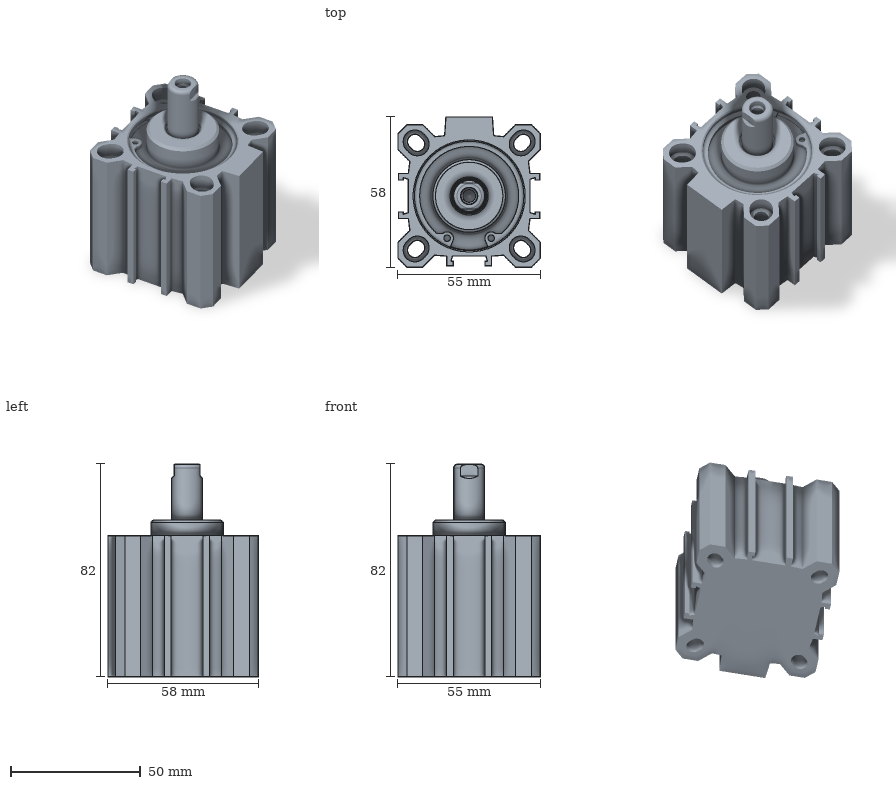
import cadquery as cq
import math


edge_margin = 0.1

housing_height = 54.5
cover_top = 60.5
rod_top = 82.0
flange_top = 50.7
flange_thickness = 10.0
bore_floor = flange_top - flange_thickness

half_width = 27.5
corner_chamfer = 3.5
corner_flat_end = 17.9
notch_depth = 4.6
wall_x = 23.5
wall_y = 23.25
rib_height = 3.75
rib_lip_thickness = 1.85
notch = half_width - notch_depth
notch_start = corner_flat_end - notch_depth
rib_outer = 8.7
rib_lip_inner = 6.1
rib_neck = 7.0
rib_root = 6.4
port_half_width = 9.0
port_base_half_width = 9.5
port_face = 30.5
port_base_fillet = 0.5

mount_offset = 20.45
mount_elongation = 1.35
mount_width = 5.6
counterbore_width = 9.0
counterbore_depth = 5.7

bore_diameter = 42.2
bore_chamfer = 0.5

flange_rim_diameter = 41.7
flange_rim_height = 1.0
boss_diameter = 28.0
boss_chamfer = 1.0
boss_root_fillet = 0.75
wiper_diameter = 13.7
wiper_depth = 1.5
wiper_chamfer = 0.5
lip_diameter = 12.54
lip_depth = 1.0
lip_chamfer = 0.3

ring_thickness = 1.75
ring_outer_radius = 44.7 / 2
ring_inner_radius = 19.1
lug_x = 8.5
lug_y = -16.3
lug_radius = 2.45
lug_hole_diameter = 2.5
lug_shoulder_y = -14.5
lug_blend_radius = 1.5
lug_end_angle = math.radians(23)

rod_diameter = 12.0
rod_end_diameter = 9.4
rod_end_rounding = 1.5
rod_hole_chamfer = 0.2
flats_width = 10.0
flats_length = 4.5
rod_hole_diameter = 6.25
rod_hole_depth = 2.75
thread_diameter = 4.92
thread_depth = 12.0
drill_point_angle = math.radians(59)


def cylinder(diameter, bottom, top):
    return cq.Workplane("XY").workplane(offset=bottom).circle(diameter / 2).extrude(top - bottom)


def rotated(points, quarter_turns):
    for _ in range(quarter_turns):
        points = [(-y, x) for x, y in points]
    return points


def with_mirror(half_side):
    """Complete a side, drawn as its +X half on -Y, and order it from -X to +X."""
    return [(-x, y) for x, y in half_side] + half_side[::-1]


def ribbed_side(wall):
    """A wall on -Y with two lipped ribs, between the notches at its ends."""
    tip = wall + rib_height
    lip_base = tip - rib_lip_thickness
    return with_mirror([
        (notch_start, -notch),
        (rib_outer, -wall),
        (rib_outer, -tip),
        (rib_lip_inner, -tip),
        (rib_lip_inner, -lip_base),
        (rib_neck, -lip_base),
        (rib_root, -wall),
    ])


def housing_outline():
    """Corner blocks joined by ribbed walls on three sides and by the port block on +Y."""
    chamfer_start = half_width - corner_chamfer

    port_side = with_mirror([
        (notch_start, -notch),
        (port_base_half_width, -wall_y),
        (port_half_width, -port_face),
    ])
    corner = [
        (corner_flat_end, -half_width),
        (chamfer_start, -half_width),
        (half_width, -chamfer_start),
        (half_width, -corner_flat_end),
    ]
    sides = [ribbed_side(wall_y), ribbed_side(wall_x), port_side, ribbed_side(wall_x)]
    points = []
    for turn, side in enumerate(sides):
        points += rotated(side + corner, turn)
    return points


def mounting_slots(width, bottom):
    """Four elongated holes, cut from the given height up through the housing top."""
    slots = cq.Workplane("XY")
    for turn in range(4):
        angle = 45 + 90 * turn
        slot = (
            cq.Workplane("XY")
            .workplane(offset=bottom)
            .center(mount_offset * math.sqrt(2), 0)
            .slot2D(width + mount_elongation, width)
            .extrude(housing_height - bottom)
            .rotate((0, 0, 0), (0, 0, 1), angle)
        )
        slots = slots.add(slot)
    return slots.combine()


def make_housing():
    body = cq.Workplane("XY").polyline(housing_outline()).close().extrude(housing_height)
    port_base = cq.selectors.BoxSelector(
        (-port_base_half_width - edge_margin, wall_y - edge_margin, -edge_margin),
        (port_base_half_width + edge_margin, wall_y + edge_margin, housing_height + edge_margin),
    )
    body = body.edges("|Z").edges(port_base).fillet(port_base_fillet)
    bore = cylinder(bore_diameter, bore_floor, housing_height)
    groove = cylinder(2 * ring_outer_radius, flange_top, flange_top + ring_thickness)
    mouth = (
        cq.Workplane("XY")
        .workplane(offset=housing_height)
        .circle(bore_diameter / 2 + bore_chamfer)
        .workplane(offset=-bore_chamfer)
        .circle(bore_diameter / 2)
        .loft(ruled=True)
    )
    body = body.cut(bore).cut(groove).cut(mouth)
    body = body.cut(mounting_slots(mount_width, 0))
    return body.cut(mounting_slots(counterbore_width, housing_height - counterbore_depth))


def make_rod_cover():
    rim_bottom = flange_top - flange_rim_height
    cover = cylinder(bore_diameter, bore_floor, rim_bottom)
    cover = cover.union(cylinder(flange_rim_diameter, rim_bottom, flange_top))
    cover = cover.union(cylinder(boss_diameter, flange_top, cover_top))
    cover = cover.faces(">Z").chamfer(boss_chamfer)

    boss_reach = boss_diameter / 2 + edge_margin
    boss_root = cq.selectors.BoxSelector(
        (-boss_reach, -boss_reach, flange_top - edge_margin),
        (boss_reach, boss_reach, flange_top + edge_margin),
        boundingbox=True,
    )
    cover = cover.edges(boss_root).fillet(boss_root_fillet)

    wiper_floor = cover_top - wiper_depth
    cover = cover.cut(cylinder(wiper_diameter, wiper_floor, cover_top))
    cover = cover.faces(">Z").edges(cq.selectors.RadiusNthSelector(0)).chamfer(wiper_chamfer)
    cover = cover.cut(cylinder(lip_diameter, wiper_floor - lip_depth, wiper_floor))
    cover = cover.cut(cylinder(rod_diameter, bore_floor, cover_top))
    lip_reach = lip_diameter / 2 + edge_margin
    lip_edge = cq.selectors.BoxSelector(
        (-lip_reach, -lip_reach, wiper_floor - edge_margin),
        (lip_reach, lip_reach, wiper_floor + edge_margin),
        boundingbox=True,
    )
    return cover.edges(lip_edge).chamfer(lip_chamfer)


def on_circle(center, radius, angle):
    return (center[0] + radius * math.cos(angle), center[1] + radius * math.sin(angle))


def make_retaining_ring():
    """Open ring with a lug at each end, symmetric about X = 0."""
    lug = (-lug_x, lug_y)

    lug_end = on_circle(lug, lug_radius, -lug_end_angle)
    run = (-math.sin(lug_end_angle), -math.cos(lug_end_angle))
    along = lug_end[0] * run[0] + lug_end[1] * run[1]
    gap_square = lug_end[0] ** 2 + lug_end[1] ** 2 - ring_outer_radius ** 2
    run_length = -along + math.sqrt(along ** 2 - gap_square)
    outer_end = (lug_end[0] + run[0] * run_length, lug_end[1] + run[1] * run_length)

    blend_y = lug_shoulder_y + lug_blend_radius
    blend_rise = blend_y - lug_y
    blend_shift = math.sqrt((lug_radius + lug_blend_radius) ** 2 - blend_rise ** 2)
    blend = (-lug_x - blend_shift, blend_y)
    blend_angle = math.atan2(blend_rise, -blend_shift)
    lug_start = on_circle(lug, lug_radius, blend_angle)
    lug_middle = on_circle(lug, lug_radius, (blend_angle - lug_end_angle) / 2)
    blend_middle = on_circle(blend, lug_blend_radius, (blend_angle - math.pi - math.pi / 2) / 2)
    blend_start = (blend[0], lug_shoulder_y)
    shoulder_start = (-math.sqrt(ring_inner_radius ** 2 - lug_shoulder_y ** 2), lug_shoulder_y)

    def mirrored(point):
        return (-point[0], point[1])

    ring = (
        cq.Workplane("XY")
        .workplane(offset=flange_top)
        .moveTo(*mirrored(outer_end))
        .threePointArc((0, ring_outer_radius), outer_end)
        .lineTo(*lug_end)
        .threePointArc(lug_middle, lug_start)
        .threePointArc(blend_middle, blend_start)
        .lineTo(*shoulder_start)
        .threePointArc((0, ring_inner_radius), mirrored(shoulder_start))
        .lineTo(*mirrored(blend_start))
        .threePointArc(mirrored(blend_middle), mirrored(lug_start))
        .threePointArc(mirrored(lug_middle), mirrored(lug_end))
        .close()
        .extrude(ring_thickness)
    )
    hole = cylinder(lug_hole_diameter, flange_top, flange_top + ring_thickness)
    for side in (-1, 1):
        ring = ring.cut(hole.translate((side * lug_x, lug_y, 0)))
    return ring


def make_piston_rod():
    flat = flats_width / 2
    radius = rod_diameter / 2
    end_radius = rod_end_diameter / 2
    rod = (
        cq.Workplane("XZ")
        .moveTo(0, bore_floor)
        .lineTo(radius, bore_floor)
        .lineTo(radius, rod_top - rod_end_rounding)
        .tangentArcPoint((end_radius, rod_top), relative=False)
        .lineTo(0, rod_top)
        .close()
        .revolve(360, (0, 0, 0), (0, 1, 0))
    )

    flat_bottom = rod_top - flats_length
    flat_cut = (
        cq.Workplane("YZ")
        .polyline([
            (flat, rod_top),
            (flat, flat_bottom),
            (radius, flat_bottom - (radius - flat)),
            (radius, rod_top),
        ])
        .close()
        .extrude(radius, both=True)
    )
    rod = rod.cut(flat_cut).cut(flat_cut.mirror("XZ"))

    hole_radius = rod_hole_diameter / 2
    thread_radius = thread_diameter / 2
    seat_top = rod_top - rod_hole_depth
    thread_bottom = rod_top - thread_depth
    hole = (
        cq.Workplane("XZ")
        .polyline([
            (0, rod_top),
            (hole_radius + rod_hole_chamfer, rod_top),
            (hole_radius, rod_top - rod_hole_chamfer),
            (hole_radius, seat_top),
            (thread_radius, seat_top - (hole_radius - thread_radius)),
            (thread_radius, thread_bottom),
            (0, thread_bottom - thread_radius / math.tan(drill_point_angle)),
        ])
        .close()
        .revolve(360, (0, 0, 0), (0, 1, 0))
    )
    return rod.cut(hole)


housing = make_housing()
rod_cover = make_rod_cover()
retaining_ring = make_retaining_ring()
piston_rod = make_piston_rod()

result = cq.Compound.makeCompound([
    housing.val(),
    rod_cover.val(),
    retaining_ring.val(),
    piston_rod.val(),
])